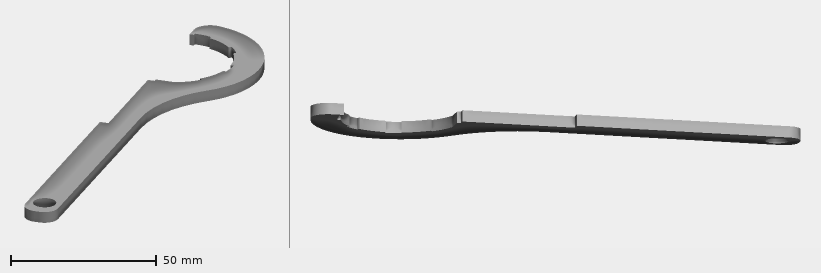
import cadquery as cq
import math

thickness = 4.0
overall_width = 35.99

outer_radius = 31.0
bore_radius = 20.5
notch_radius = 21.6
tip_fillet = 6.0

handle_width = 12.0
handle_left = outer_radius - overall_width
handle_right = handle_left + handle_width
relief_depth = 3.1
tip_left = handle_left + relief_depth
handle_end = -141.82
grip_length = 80.4
step_y = handle_end + grip_length
end_fillet = 5.0
neck_radius = 40.0

hole_diameter = 8.0
hole_x = handle_left + handle_width / 2
hole_end_distance = 8.0
hole_y = handle_end + hole_end_distance

notch_span = 15.0
notch_pitch = 44.5
first_notch_start = -15.0
full_notches = 2
tip_notch_end = 91.0
seat_notch_end = first_notch_start - notch_pitch + notch_span

seat_y = -20.3
heel_width = 2.4
seat_left = tip_left + heel_width


def polar(radius, angle):
    """Point on a circle about the ring centre."""
    return (radius * math.cos(math.radians(angle)), radius * math.sin(math.radians(angle)))


def below_centre(radius, x):
    """Point at x on the lower half of a circle about the ring centre."""
    return (x, -math.sqrt(radius ** 2 - x ** 2))


def arc_to(sketch, radius, start, end):
    """Arc about the ring centre, from the current point at angle start to angle end."""
    return sketch.threePointArc(polar(radius, (start + end) / 2), polar(radius, end))


def tip_corner():
    """Tangent points and midpoint of the round joining the hook tip to the outer circle."""
    centre_x = tip_left + tip_fillet
    centre_y = math.sqrt((outer_radius - tip_fillet) ** 2 - centre_x ** 2)
    ring_angle = math.degrees(math.atan2(centre_y, centre_x))
    mid_angle = math.radians((180 + ring_angle) / 2)
    middle = (centre_x + tip_fillet * math.cos(mid_angle), centre_y + tip_fillet * math.sin(mid_angle))
    return centre_y, middle, ring_angle


def neck_blend():
    """Angle of tangency on the ring, midpoint, and y of tangency on the handle of the neck arc."""
    centre_x = handle_right + neck_radius
    centre_y = -math.sqrt((outer_radius + neck_radius) ** 2 - centre_x ** 2)
    ring_angle = math.degrees(math.atan2(centre_y, centre_x))
    mid_angle = math.radians(180 + ring_angle / 2)
    middle = (centre_x + neck_radius * math.cos(mid_angle), centre_y + neck_radius * math.sin(mid_angle))
    return ring_angle, middle, centre_y


def outline():
    """Closed outline, starting at the lower left of the handle and running clockwise."""
    heel_middle_x = (tip_left + seat_left) / 2
    seat_arc_end = math.degrees(math.asin(seat_y / notch_radius))
    tip_bottom_y = math.sqrt(bore_radius ** 2 - tip_left ** 2)
    tip_tangent_y, tip_middle, tip_angle = tip_corner()
    neck_angle, neck_middle, neck_tangent_y = neck_blend()

    sketch = (
        cq.Workplane("XY")
        .moveTo(handle_left, handle_end)
        .lineTo(handle_left, step_y)
        .lineTo(tip_left, step_y)
        .lineTo(*below_centre(notch_radius, tip_left))
        .threePointArc(below_centre(notch_radius, heel_middle_x), below_centre(notch_radius, seat_left))
        .lineTo(seat_left, seat_y)
        .lineTo(*polar(notch_radius, seat_arc_end))
    )
    sketch = arc_to(sketch, notch_radius, seat_arc_end, seat_notch_end)

    angle = seat_notch_end
    notches = []
    for index in range(full_notches):
        start = first_notch_start + index * notch_pitch
        notches.append((start, start + notch_span))
    notches.append((first_notch_start + full_notches * notch_pitch, tip_notch_end))
    for notch_start, notch_end in notches:
        sketch = sketch.lineTo(*polar(bore_radius, angle))
        sketch = arc_to(sketch, bore_radius, angle, notch_start)
        sketch = sketch.lineTo(*polar(notch_radius, notch_start))
        sketch = arc_to(sketch, notch_radius, notch_start, notch_end)
        angle = notch_end
    sketch = sketch.lineTo(*polar(bore_radius, angle))

    sketch = sketch.lineTo(tip_left, tip_bottom_y).lineTo(tip_left, tip_tangent_y)
    sketch = sketch.threePointArc(tip_middle, polar(outer_radius, tip_angle))
    sketch = arc_to(sketch, outer_radius, tip_angle, neck_angle)
    sketch = sketch.threePointArc(neck_middle, (handle_right, neck_tangent_y))
    return sketch.lineTo(handle_right, handle_end).close()


def round_handle_end(body):
    """Round the two vertical corners at the free end of the handle."""
    return body.faces("<Y").edges("|Z").fillet(end_fillet)


def hanging_hole():
    """Cutter for the round hole through the free end of the handle."""
    return cq.Workplane("XY").center(hole_x, hole_y).circle(hole_diameter / 2).extrude(thickness)


result = round_handle_end(outline().extrude(thickness)).cut(hanging_hole())